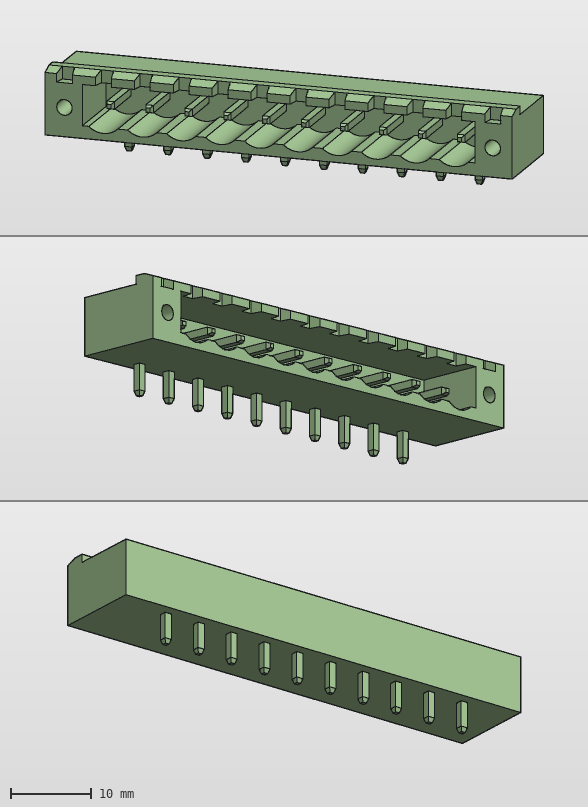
import cadquery as cq

pin_count = 10
length = 60.95
pitch = length / (pin_count + 2)
depth = 12.0

body_height = 7.5
lip_height = 8.6
lip_depth = 3.0
lip_front_height = 8.05
lip_slope_depth = 1.5

cavity_width = 51.2
cavity_depth = 9.15
cavity_floor = 1.65
cavity_ceiling = 6.95
scallop_width = 3.8
scallop_floor = 0.9

slot_front_width = 2.1
slot_back_width = 1.6

screw_hole_diameter = 2.0
screw_hole_depth = 6.1

pin_width = 1.0
pin_tip_width = 0.55
pin_tip_length = 0.6
pin_height = 3.8
pin_setback = 2.2
leg_back_inset = 1.95
leg_y = depth - leg_back_inset
leg_length = 4.0

pin_positions = [(i - (pin_count - 1) / 2) * pitch for i in range(pin_count)]
flange_x = (pin_count + 1) / 2 * pitch
flange_positions = [-flange_x, flange_x]


def make_housing():
    profile = [
        (0, 0),
        (depth, 0),
        (depth, body_height),
        (lip_depth, body_height),
        (lip_depth, lip_height),
        (lip_slope_depth, lip_height),
        (0, lip_front_height),
    ]
    return cq.Workplane("YZ").polyline(profile).close().extrude(length / 2, both=True)


def make_cavity():
    half_width = cavity_width / 2
    outline = cq.Workplane("XZ").moveTo(-half_width, cavity_ceiling).lineTo(-half_width, cavity_floor)
    for x in pin_positions:
        outline = outline.lineTo(x - scallop_width / 2, cavity_floor)
        outline = outline.threePointArc((x, scallop_floor), (x + scallop_width / 2, cavity_floor))
    outline = outline.lineTo(half_width, cavity_floor).lineTo(half_width, cavity_ceiling).close()
    return outline.extrude(-cavity_depth)


def make_coding_slot(x):
    outline = [
        (x - slot_front_width / 2, 0),
        (x + slot_front_width / 2, 0),
        (x + slot_back_width / 2, lip_slope_depth),
        (x - slot_back_width / 2, lip_slope_depth),
    ]
    floor = cq.Workplane("XY").workplane(offset=cavity_ceiling)
    return floor.polyline(outline).close().extrude(lip_height - cavity_ceiling)


def make_screw_hole(x):
    return cq.Workplane("XZ").center(x, pin_height).circle(screw_hole_diameter / 2).extrude(-screw_hole_depth)


def make_bar(plane, straight_length):
    """Square bar along the plane's normal, with a tapered tip at its far end."""
    bar = cq.Workplane(plane).rect(pin_width, pin_width).extrude(straight_length)
    tip = bar.faces(cq.selectors.DirectionMinMaxSelector(plane.zDir, True)).workplane()
    tip = tip.rect(pin_width, pin_width).workplane(offset=pin_tip_length)
    return tip.rect(pin_tip_width, pin_tip_width).loft(combine=True)


def make_pin(x):
    bend = (x, leg_y, pin_height)
    contact_plane = cq.Plane(origin=bend, xDir=(1, 0, 0), normal=(0, -1, 0))
    leg_plane = cq.Plane(origin=bend, xDir=(1, 0, 0), normal=(0, 0, -1))
    contact = make_bar(contact_plane, leg_y - pin_setback - pin_tip_length)
    leg = make_bar(leg_plane, pin_height + leg_length - pin_tip_length)
    return contact.union(leg)


result = make_housing().cut(make_cavity())
for x in pin_positions + flange_positions:
    result = result.cut(make_coding_slot(x))
for x in flange_positions:
    result = result.cut(make_screw_hole(x))
for x in pin_positions:
    result = result.union(make_pin(x))